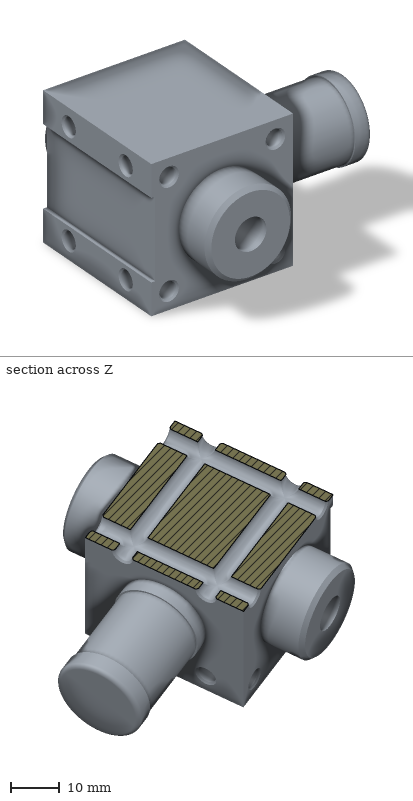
import cadquery as cq

block_x = 38.0
block_y = 36.0
block_z = 36.0

channel_width = 20.0
channel_depth = 1.0

boss_diameter = 22.0
boss_length = 10.0
boss_chamfer = 1.0
bore_diameter = 8.0

neck_diameter = 19.2
collar_diameter = 20.0
spigot_length = 26.5
base_collar_length = 3.2
end_collar_length = 4.2
end_rounding = 1.0

hole_diameter = 4.13
countersink_diameter = 5.0
countersink_depth = (countersink_diameter - hole_diameter) / 2
hole_spacing_x = 20.0
hole_spacing_y = 27.0
hole_spacing_z = 27.0

X_AXIS = cq.Vector(1, 0, 0)
Y_AXIS = cq.Vector(0, 1, 0)


def rod(diameter, length, start, direction):
    """Solid cylinder from a start point along a direction."""
    return cq.Workplane(cq.Solid.makeCylinder(diameter / 2, length, start, direction))


def make_block():
    block = cq.Workplane().box(block_x, block_y, block_z)
    channel = cq.Workplane().box(block_x, 2 * channel_depth, channel_width)
    return block.cut(channel.translate((0, -block_y / 2, 0)))


def make_bosses():
    span = block_x + 2 * boss_length
    bosses = rod(boss_diameter, span, cq.Vector(-span / 2, 0, 0), X_AXIS)
    return bosses.faces("<X or >X").chamfer(boss_chamfer)


def make_spigot():
    base_y = block_y / 2
    end_collar_y = base_y + spigot_length - end_collar_length
    neck = rod(neck_diameter, spigot_length - end_collar_length, cq.Vector(0, base_y, 0), Y_AXIS)
    base_collar = rod(collar_diameter, base_collar_length, cq.Vector(0, base_y, 0), Y_AXIS)
    end_collar = rod(collar_diameter, end_collar_length, cq.Vector(0, end_collar_y, 0), Y_AXIS)
    end_collar = end_collar.faces(">Y").edges().fillet(end_rounding)
    return neck.union(base_collar).union(end_collar)


def screw_hole(length, start, direction):
    """Cutter for a through hole with a countersink at each end."""
    hole = rod(hole_diameter, length, start, direction)
    ends = ((start, direction), (start + direction * length, direction * -1))
    for mouth, inward in ends:
        countersink = cq.Solid.makeCone(
            countersink_diameter / 2, hole_diameter / 2, countersink_depth, mouth, inward
        )
        hole = hole.union(cq.Workplane(countersink))
    return hole


def drill_screw_holes(body):
    for z_side in (-1, 1):
        z = z_side * hole_spacing_z / 2
        for side in (-1, 1):
            along_x = cq.Vector(-block_x / 2, side * hole_spacing_y / 2, z)
            body = body.cut(screw_hole(block_x, along_x, X_AXIS))
            along_y = cq.Vector(side * hole_spacing_x / 2, -block_y / 2, z)
            body = body.cut(screw_hole(block_y, along_y, Y_AXIS))
    return body


def cut_bore(body):
    span = block_x + 2 * boss_length
    return body.cut(rod(bore_diameter, span, cq.Vector(-span / 2, 0, 0), X_AXIS))


body = make_block().union(make_bosses()).union(make_spigot())
result = cut_bore(drill_screw_holes(body))